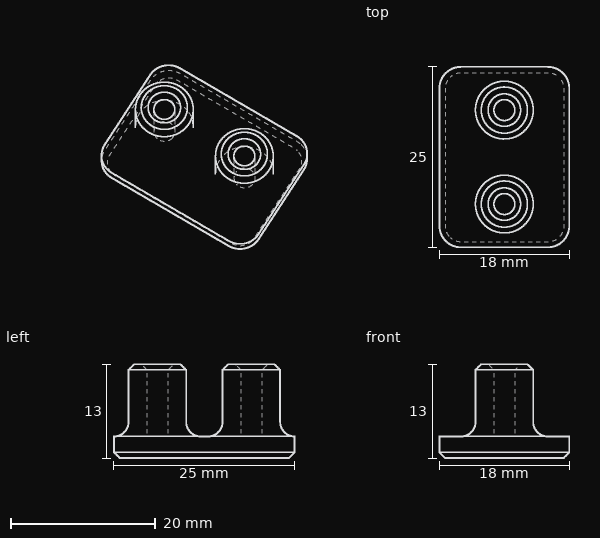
import cadquery as cq
import math

plate_width = 18.0
plate_length = 25.0
plate_thickness = 3.0
corner_radius = 3.0

total_height = 13.0
post_radius = 4.0
post_spacing = 13.0
root_fillet = 2.0

hole_radius = 1.45

chamfer = 0.8


def make_plate():
    """Rounded plate resting on Z = 0, chamfered around its bottom edge."""
    plate = cq.Workplane("XY").box(
        plate_width, plate_length, plate_thickness, centered=(True, True, False)
    )
    plate = plate.edges("|Z").fillet(corner_radius)
    return plate.faces("<Z").edges().chamfer(chamfer)


def make_post():
    """Hollow post revolved about Z, with a flared root and chamfered rim and hole mouth."""
    flare_radius = post_radius + root_fillet
    flare_top = plate_thickness + root_fillet
    chamfer_bottom = total_height - chamfer
    arc_offset = root_fillet * math.sin(math.radians(45))
    arc_middle = (flare_radius - arc_offset, flare_top - arc_offset)

    profile = (
        cq.Workplane("XZ")
        .moveTo(hole_radius, plate_thickness)
        .lineTo(flare_radius, plate_thickness)
        .threePointArc(arc_middle, (post_radius, flare_top))
        .lineTo(post_radius, chamfer_bottom)
        .lineTo(post_radius - chamfer, total_height)
        .lineTo(hole_radius + chamfer, total_height)
        .lineTo(hole_radius, chamfer_bottom)
        .close()
    )
    return profile.revolve(360, (0, 0, 0), (0, 1, 0))


result = make_plate()
for side in (-1, 1):
    post = make_post().translate((0, side * post_spacing / 2, 0))
    result = result.union(post)